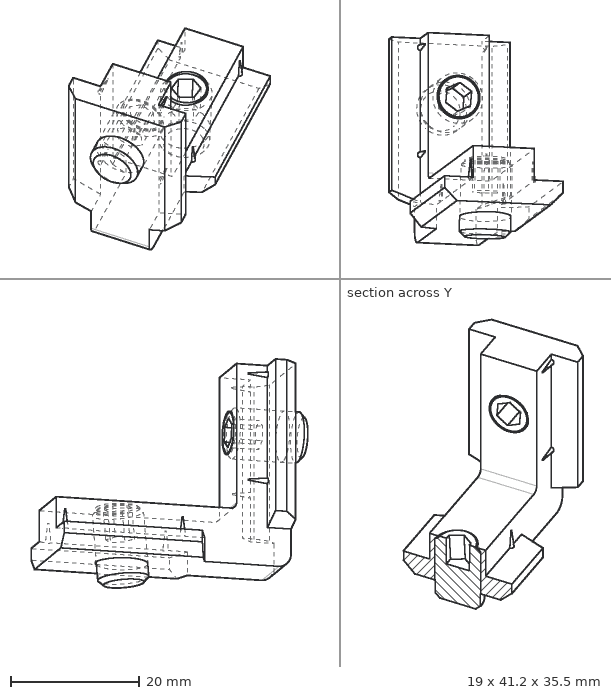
import cadquery as cq

horizontal_length = 38.0
vertical_length = 32.0
leg_thickness = 8.8
web_width = 9.8
inner_radius = 1.0
outer_radius = 2.05

flange_width = 19.0
flange_thickness = 3.85
flange_chamfer = 1.98
flange_end_taper = 1.65
horizontal_flange_start = 14.0
vertical_flange_start = 6.1

rib_height = 3.1
rib_base_radius = 0.45
rib_tip_radius = 0.1
horizontal_rib_places = (17.55, 36.55)
vertical_rib_places = (13.55, 30.53)

screw_diameter = 8.0
screw_length = 12.05
screw_chamfer = 0.82
hole_diameter = 6.8
socket_across_corners = 4.57
socket_depth = 4.95
socket_turn = 25.0
horizontal_screw_place = 26.75
vertical_screw_place = 22.05
horizontal_screw_tilt = 5.0
quarter_turn = 90.0


def make_web():
    """L-shaped web with rounded inner and outer corners."""
    web = (
        cq.Workplane("YZ")
        .polyline([
            (0, 0),
            (horizontal_length, 0),
            (horizontal_length, leg_thickness),
            (leg_thickness, leg_thickness),
            (leg_thickness, vertical_length),
            (0, vertical_length),
        ])
        .close()
        .extrude(web_width / 2, both=True)
    )
    inner_edge = cq.selectors.NearestToPointSelector((0, leg_thickness, leg_thickness))
    outer_edge = cq.selectors.NearestToPointSelector((0, 0, 0))
    web = web.edges("|X").edges(inner_edge).fillet(inner_radius)
    return web.edges("|X").edges(outer_edge).fillet(outer_radius)


def make_flange(start, end):
    """Flange lying on the XY plane, running in Y, with a tapered start and chamfered lower edges."""
    half_width = flange_width / 2
    half_web = web_width / 2
    plate = (
        cq.Workplane("XY")
        .polyline([
            (-half_web, start),
            (half_web, start),
            (half_width, start + flange_end_taper),
            (half_width, end),
            (-half_width, end),
            (-half_width, start + flange_end_taper),
        ])
        .close()
        .extrude(flange_thickness)
    )
    section = (
        cq.Workplane("XZ")
        .polyline([
            (-half_width + flange_chamfer, 0),
            (half_width - flange_chamfer, 0),
            (half_width, flange_chamfer),
            (half_width, flange_thickness),
            (-half_width, flange_thickness),
            (-half_width, flange_chamfer),
        ])
        .close()
        .extrude(-end)
    )
    return plate.intersect(section)


def make_rib(side, place):
    """Tapered peg standing on the flange, centred on one side of the web."""
    cone = cq.Solid.makeCone(rib_base_radius, rib_tip_radius, rib_height)
    return cone.translate(cq.Vector(side * web_width / 2, place, flange_thickness))


def make_leg_details(start, end, rib_places):
    """Flange and crush ribs of one leg, with the leg lying along Y."""
    details = make_flange(start, end)
    for side in (-1, 1):
        for place in rib_places:
            details = details.union(cq.Workplane(make_rib(side, place)))
    return details


def stand_up(leg):
    """Swap Y and Z, which turns a shape of the horizontal leg into one of the vertical leg."""
    return leg.rotate((0, 0, 0), (1, 0, 0), quarter_turn).mirror("XZ")


def make_screw_blank():
    """Screw without its socket: axis along Z, head face at the origin, body below."""
    return (
        cq.Workplane("XY")
        .circle(screw_diameter / 2)
        .extrude(-screw_length)
        .faces("<Z or >Z")
        .edges()
        .chamfer(screw_chamfer)
    )


def make_socket():
    """Hexagonal socket below the head face."""
    return (
        cq.Workplane("XY")
        .polygon(6, socket_across_corners)
        .extrude(-socket_depth)
        .rotate((0, 0, 0), (0, 0, 1), socket_turn)
    )


def place_screw(shape, tilt, y, z):
    """Tip a screw shape from Z toward +Y and move its head face to the given point."""
    return shape.rotate((0, 0, 0), (1, 0, 0), -tilt).translate((0, y, z))


def make_hole(place):
    """Screw hole through a leg that lies along Y."""
    return cq.Workplane("XY").center(0, place).circle(hole_diameter / 2).extrude(leg_thickness)


screw_places = (
    (horizontal_screw_tilt, horizontal_screw_place, leg_thickness),
    (quarter_turn, leg_thickness, vertical_screw_place),
)
screw_blank = make_screw_blank()
screw = screw_blank.cut(make_socket())
screws = [place_screw(screw, *place) for place in screw_places]

bracket = (
    make_web()
    .union(make_leg_details(horizontal_flange_start, horizontal_length, horizontal_rib_places))
    .union(stand_up(make_leg_details(vertical_flange_start, vertical_length, vertical_rib_places)))
    .cut(make_hole(horizontal_screw_place))
    .cut(stand_up(make_hole(vertical_screw_place)))
)
for place in screw_places:
    bracket = bracket.cut(place_screw(screw_blank, *place))

result = cq.Compound.makeCompound([bracket.solids().val(), *[body.solids().val() for body in screws]])